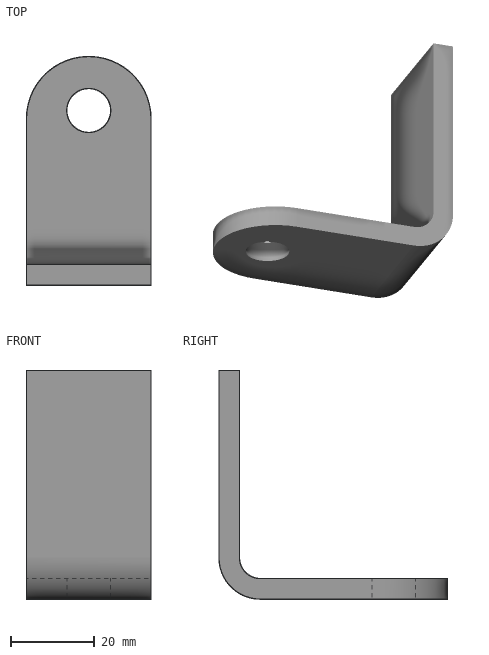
import cadquery as cq

width = 30.0
leg_length = 55.0
thickness = 5.0
inner_bend_radius = 5.0
hole_diameter = 10.5
hole_to_tip = 13.0

outer_bend_radius = inner_bend_radius + thickness
tip_radius = width / 2
tip_center_y = leg_length - tip_radius
hole_center_y = leg_length - hole_to_tip


def bent_strip():
    """L-shaped strip: base leg along +Y, upright leg along +Z, with a concentric bend."""
    base = cq.Workplane("XY").box(width, leg_length, thickness, centered=(True, False, False))
    upright = cq.Workplane("XY").box(width, thickness, leg_length, centered=(True, False, False))
    strip = base.union(upright)
    strip = strip.edges("|X and <Y and <Z").fillet(outer_bend_radius)
    inner_corner = cq.selectors.NearestToPointSelector((0, thickness, thickness))
    return strip.edges(inner_corner).fillet(inner_bend_radius)


def rounded_end_outline():
    """Block seen along Z as a straight strip with a full-width round end."""
    return (
        cq.Workplane("XY")
        .moveTo(-tip_radius, 0)
        .lineTo(tip_radius, 0)
        .lineTo(tip_radius, tip_center_y)
        .threePointArc((0, leg_length), (-tip_radius, tip_center_y))
        .close()
        .extrude(leg_length)
    )


def base_hole():
    """Through-hole cutter for the base leg."""
    return cq.Workplane("XY").center(0, hole_center_y).circle(hole_diameter / 2).extrude(thickness)


result = bent_strip().intersect(rounded_end_outline()).cut(base_hole())